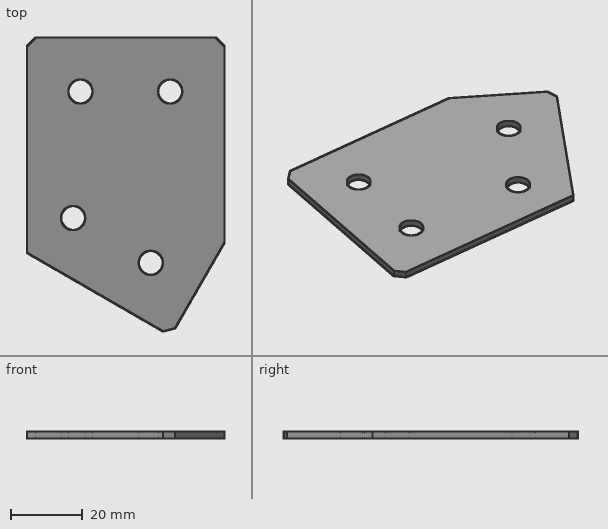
import cadquery as cq
import math

width = 55.0
length = 81.8
thickness = 2.0
corner_chamfer = 2.45

end_angle = math.radians(30)
tip_x = 37.9

hole_diameter = 6.6
hole_spacing = 25.0
upper_hole_x = 14.9
upper_hole_inset = 15.05
lower_hole_x = 12.85
lower_hole_y = 31.6


def plate_outline():
    left_end_y = tip_x * math.tan(end_angle)
    chamfer_end_x = tip_x + corner_chamfer * (math.cos(end_angle) + math.sin(end_angle))
    chamfer_end_y = corner_chamfer * (math.cos(end_angle) - math.sin(end_angle))
    right_end_y = chamfer_end_y + (width - chamfer_end_x) / math.tan(end_angle)
    return [
        (0, left_end_y),
        (tip_x, 0),
        (chamfer_end_x, chamfer_end_y),
        (width, right_end_y),
        (width, length - corner_chamfer),
        (width - corner_chamfer, length),
        (corner_chamfer, length),
        (0, length - corner_chamfer),
    ]


def hole_pair(x, y, angle):
    """Centres of two holes, the second one spacing away, angled below +X."""
    second_x = x + hole_spacing * math.cos(angle)
    second_y = y - hole_spacing * math.sin(angle)
    return [(x, y), (second_x, second_y)]


hole_centres = hole_pair(upper_hole_x, length - upper_hole_inset, 0)
hole_centres += hole_pair(lower_hole_x, lower_hole_y, end_angle)

plate = cq.Workplane("XY").polyline(plate_outline()).close().extrude(thickness)
holes = cq.Workplane("XY").pushPoints(hole_centres).circle(hole_diameter / 2).extrude(thickness)
result = plate.cut(holes)